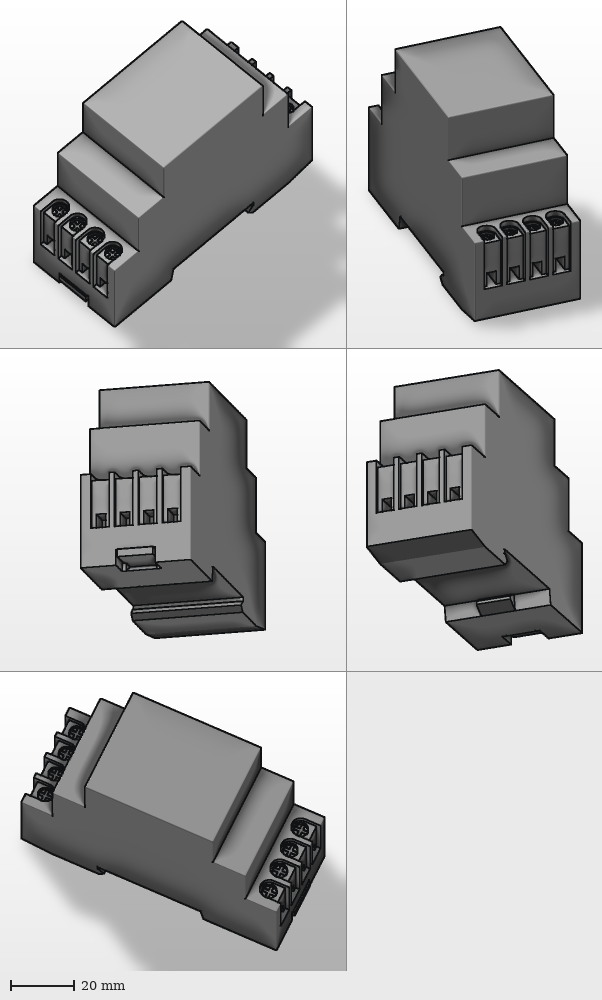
import cadquery as cq

width = 36.3
total_length = 90.2
latch_projection = 0.6
body_length = total_length - latch_projection
shoulder_length = 67.8
crown_length = 45.0
terminal_height = 30.9
shoulder_height = 49.1
total_height = 65.1
ridge_radius = 0.45
side_radius = 0.3

front = -body_length / 2
back = body_length / 2
tail_bevel_length = 11.0
tail_bevel_height = 1.8

groove_height = 5.1
groove_front_top = -18.1
groove_front_bottom = -19.1
groove_back = 18.1
lip_tip_y = 15.7
lip_tip_z = 1.9
lip_rise = 1.8

channel_width = 12.9
channel_depth = 7.2
latch_width = 11.7
latch_thickness = 2.5
latch_bottom = groove_height - latch_thickness
latch_tip_y = -15.3
latch_tip_height = 1.1
latch_bevel_y = -17.6
ramp_width = 10.0
ramp_length = 4.5

terminals_per_side = 4
terminal_pitch = 7.85
terminal_slot_width = 6.1
terminal_slot_floor = 12.9
screw_inset = 5.5
block_inset = 1.4
block_height = 28.95
wire_hole_width = 3.2
wire_hole_height = 4.9
wire_hole_depth = 7.2

screw_hole_diameter = 4.9
screw_hole_depth = 1.4
screw_head_diameter = 4.5
screw_head_height = 0.8
screw_head_radius = 0.4
cross_width = 1.1
cross_depth = 0.5


def box(size_x, y_range, z_range):
    """Box centred on X = 0 between the given Y and Z limits."""
    y_min, y_max = y_range
    z_min, z_max = z_range
    block = cq.Workplane("XY").box(size_x, y_max - y_min, z_max - z_min, centered=(True, False, False))
    return block.translate((0, y_min, z_min))


def extrude_along_x(points, size_x):
    """Prism centred on X = 0 from a list of (y, z) points."""
    return cq.Workplane("YZ").polyline(points).close().extrude(size_x / 2, both=True)


def make_tier(length, height):
    """Lower block of the housing, with rounded front and back ridges and side edges."""
    block = box(width, (-length / 2, length / 2), (0, height))
    ridged = block.edges("|X and >Z").fillet(ridge_radius)
    return ridged.faces("<X or >X").edges("not <Z").fillet(side_radius)


def make_crown():
    """Tallest block of the housing, its top edge rounded all the way round."""
    block = box(width, (-crown_length / 2, crown_length / 2), (0, total_height))
    return block.edges("|Z").fillet(side_radius).faces(">Z").edges().fillet(ridge_radius)


def make_housing():
    """Three stacked steps with the underside bevelled at the back."""
    base = make_tier(body_length, terminal_height)
    shoulder = make_tier(shoulder_length, shoulder_height)
    tail_bevel = extrude_along_x(
        [(back, 0), (back, tail_bevel_height), (back - tail_bevel_length, 0)],
        width,
    )
    return base.union(shoulder).union(make_crown()).cut(tail_bevel)


def make_rail_groove():
    """Groove across the underside with a pointed lip at its back."""
    return extrude_along_x(
        [
            (groove_front_bottom, 0),
            (groove_front_top, groove_height),
            (groove_back, groove_height),
            (groove_back, lip_tip_z + lip_rise),
            (lip_tip_y + lip_rise, lip_tip_z + lip_rise),
            (lip_tip_y, lip_tip_z),
            (lip_tip_y + lip_tip_z, 0),
        ],
        width,
    )


def make_latch_channel():
    """Blind channel under the front edge, with a ramp sloping up from its end."""
    channel_end = front + channel_depth
    channel = box(channel_width, (front, channel_end), (0, groove_height))
    ramp = extrude_along_x(
        [
            (channel_end, 0),
            (channel_end, latch_bottom),
            (channel_end + ramp_length, latch_bottom),
        ],
        ramp_width,
    )
    return channel.union(ramp)


def make_latch():
    """Bar showing at the front edge and the hook showing in the rail groove."""
    bar = box(latch_width, (front - latch_projection, front + channel_depth), (latch_bottom, groove_height))
    hook = extrude_along_x(
        [
            (groove_front_top, groove_height),
            (latch_bevel_y, groove_height),
            (latch_tip_y, latch_bottom + latch_tip_height),
            (latch_tip_y, latch_bottom),
            (groove_front_bottom, 0),
        ],
        latch_width,
    )
    return bar.union(hook)


def make_terminal_cut():
    """Everything removed for one front terminal, centred on X = 0."""
    screw_y = front + screw_inset
    block_face = front + block_inset

    slot = box(terminal_slot_width, (front, block_face), (terminal_slot_floor, terminal_height))
    above_block = box(terminal_slot_width, (front, screw_y), (block_height, terminal_height))
    wire_hole = box(
        wire_hole_width,
        (front, block_face + wire_hole_depth),
        (terminal_slot_floor, terminal_slot_floor + wire_hole_height),
    )

    def disc(diameter, bottom, top):
        return cq.Workplane("XY", origin=(0, screw_y, bottom)).circle(diameter / 2).extrude(top - bottom)

    slot_end = disc(terminal_slot_width, block_height, terminal_height)

    hole_floor = block_height - screw_hole_depth
    head_top = hole_floor + screw_head_height
    head = disc(screw_head_diameter, hole_floor, head_top).faces(">Z").edges().fillet(screw_head_radius)
    for size_x, size_y in ((cross_width, screw_head_diameter), (screw_head_diameter, cross_width)):
        groove = box(size_x, (screw_y - size_y / 2, screw_y + size_y / 2), (head_top - cross_depth, head_top))
        head = head.cut(groove)
    screw_hole = disc(screw_hole_diameter, hole_floor, block_height).cut(head)

    return slot.union(above_block).union(slot_end).union(wire_hole).union(screw_hole)


result = make_housing().cut(make_rail_groove())
result = result.cut(make_latch_channel())
result = result.union(make_latch())

front_terminal = make_terminal_cut()
back_terminal = front_terminal.mirror("XZ")
for index in range(terminals_per_side):
    x = (index - (terminals_per_side - 1) / 2) * terminal_pitch
    result = result.cut(front_terminal.translate((x, 0, 0)))
    result = result.cut(back_terminal.translate((x, 0, 0)))